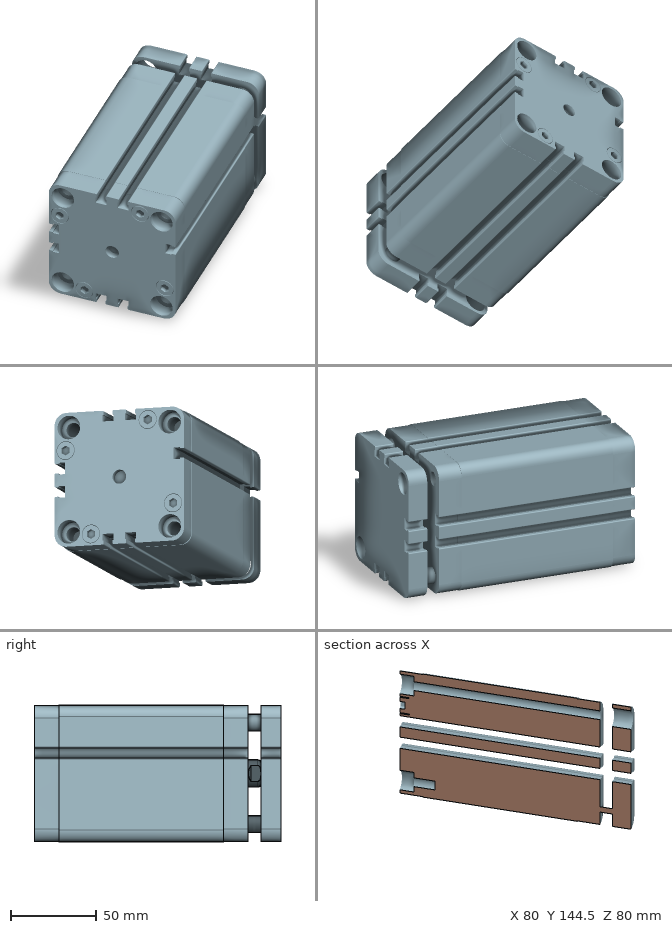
import cadquery as cq
import math

length = 144.5
width = 80.0
plate_thickness = 11.8
gap = 7.5
cap_thickness = 14.3
cap_width = 79.8
cap_corner_radius = 7.4
barrel_corner_radius = 6.8

front_y = -length / 2
rear_y = length / 2
plate_front_y = rear_y - plate_thickness
body_rear_y = plate_front_y - gap
body_length = body_rear_y - front_y
barrel_length = body_length - 2 * cap_thickness

slot_offset = 7.0
slot_mouth = 5.6
slot_chamber = 7.0
slot_depth = 6.4
slot_lip = 2.5
slot_edge_radius = 0.6
single_slot_offset = 12.0

corner_hole_offset = 31.0
corner_hole_diameter = 8.5
counterbore_diameter = 14.0
counterbore_depth = 8.7
blind_hole_depth = 21.7
plate_hole_diameter = 13.5
guide_rod_offset = 29.8
guide_rod_diameter = 10.0

centre_hole_diameter = 8.4
centre_hole_depth = 4.3

screw_near = 17.5
screw_far = 33.1
screw_hole_diameter = 11.1
screw_head_diameter = 10.5
screw_seat_depth = 5.8
hex_across_corners = 5.8
hex_depth = 2.9
hex_turn = 30

rod_diameter = 16.0
rod_across_flats = 13.0
rod_flat_end = 1.7
rod_end_radius = 1.9


def cylinder(x, z, y, depth, diameter):
    """Cylinder along +Y starting at y."""
    solid = cq.Solid.makeCylinder(diameter / 2, depth, cq.Vector(x, y, z), cq.Vector(0, 1, 0))
    return cq.Workplane(obj=solid)


def slot(side, offset, turn):
    """T-slot with rounded mouth edges, opening on +Z of a square block of the given side.

    It sits at the given X offset and is then turned about Y.
    """
    surface_z = side / 2
    floor_z = surface_z - slot_depth
    lip_z = surface_z - slot_lip
    round_z = surface_z - slot_edge_radius
    mouth = slot_mouth / 2
    chamber = slot_chamber / 2
    flare = mouth + slot_edge_radius
    mid_arc = slot_edge_radius * (1 - math.sqrt(0.5))
    outline = (
        cq.Workplane("XZ")
        .moveTo(-chamber, floor_z)
        .lineTo(chamber, floor_z)
        .lineTo(chamber, lip_z)
        .lineTo(mouth, lip_z)
        .lineTo(mouth, round_z)
        .threePointArc((mouth + mid_arc, surface_z - mid_arc), (flare, surface_z))
        .lineTo(-flare, surface_z)
        .threePointArc((-mouth - mid_arc, surface_z - mid_arc), (-mouth, round_z))
        .lineTo(-mouth, lip_z)
        .lineTo(-chamber, lip_z)
        .close()
    )
    cutter = outline.extrude(length, both=True)
    return cutter.translate((offset, 0, 0)).rotate((0, 0, 0), (0, 1, 0), turn)


def slotted_block(y, depth, side, corner_radius):
    """Square block starting at y: paired slots on top, bottom and left, one on the right."""
    block = cq.Workplane("XY").box(side, depth, side).edges("|Y").fillet(corner_radius)
    for turn in (0, 180, 270):
        for offset in (-slot_offset, slot_offset):
            block = block.cut(slot(side, offset, turn))
    block = block.cut(slot(side, -single_slot_offset, 90))
    return block.translate((0, y + depth / 2, 0))


def hex_socket(x, z):
    """Hexagonal recess in the front face with corners pointing up and down."""
    sketch = cq.Workplane("XZ", origin=(x, front_y, z)).transformed(rotate=(0, 0, hex_turn))
    return sketch.polygon(6, hex_across_corners).extrude(-hex_depth)


def piston_rod():
    """Rod with a rounded rear end and two side flats that run out on 45 degree slopes."""
    radius = rod_diameter / 2
    flat = rod_across_flats / 2
    rod = cylinder(0, 0, body_rear_y, gap, rod_diameter).faces(">Y").edges().fillet(rod_end_radius)
    slope_end = body_rear_y + rod_flat_end
    flat_outline = [
        (radius, slope_end - (radius - flat)),
        (flat, slope_end),
        (flat, plate_front_y),
        (radius, plate_front_y),
    ]
    cutter = cq.Workplane("XY").polyline(flat_outline).close().extrude(radius, both=True)
    return rod.cut(cutter).cut(cutter.mirror("YZ"))


front_cap = slotted_block(front_y, cap_thickness, cap_width, cap_corner_radius)
barrel = slotted_block(front_y + cap_thickness, barrel_length, width, barrel_corner_radius)
rear_cap = slotted_block(body_rear_y - cap_thickness, cap_thickness, cap_width, cap_corner_radius)
plate = slotted_block(plate_front_y, plate_thickness, cap_width, cap_corner_radius)
result = front_cap.union(barrel).union(rear_cap).union(plate)

for side_x in (-1, 1):
    for side_z in (-1, 1):
        x = side_x * corner_hole_offset
        z = side_z * corner_hole_offset
        through = side_x != side_z
        depth = body_length if through else blind_hole_depth
        result = result.cut(cylinder(x, z, front_y, depth, corner_hole_diameter))
        result = result.cut(cylinder(x, z, front_y, counterbore_depth, counterbore_diameter))
        if through:
            result = result.cut(cylinder(x, z, plate_front_y, plate_thickness, plate_hole_diameter))
        else:
            rod_x = side_x * guide_rod_offset
            rod_z = side_z * guide_rod_offset
            result = result.union(cylinder(rod_x, rod_z, body_rear_y, gap, guide_rod_diameter))

result = result.cut(cylinder(0, 0, front_y, centre_hole_depth, centre_hole_diameter))

for index in range(4):
    angle = math.radians(90 * index)
    x = screw_near * math.cos(angle) - screw_far * math.sin(angle)
    z = screw_near * math.sin(angle) + screw_far * math.cos(angle)
    result = result.cut(cylinder(x, z, front_y, screw_seat_depth, screw_hole_diameter))
    result = result.union(cylinder(x, z, front_y, screw_seat_depth, screw_head_diameter))
    result = result.cut(hex_socket(x, z))

result = result.union(piston_rod())